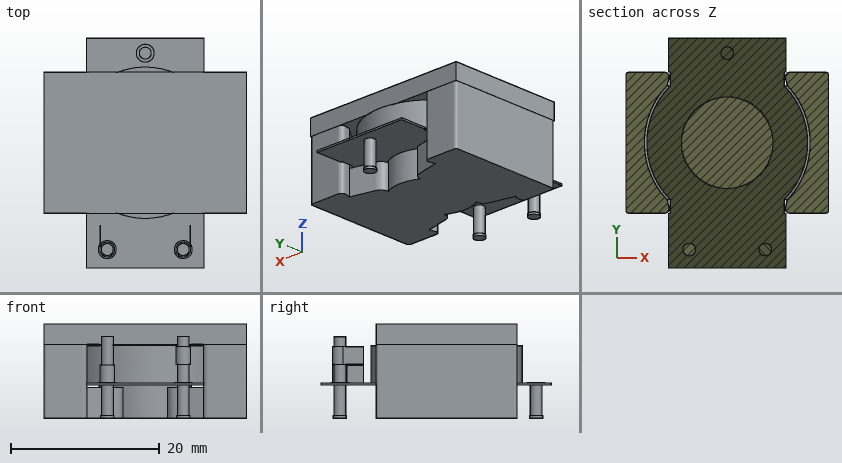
import cadquery as cq
import math

core_length = 27.3
core_width = 19.0
core_height = 9.98
base_height = 4.2
window_radius = 11.15
post_radius = 6.2
leg_outer_fillet = 0.4
leg_inner_fillet = 0.65

flank_slope = math.radians(13)
flank_root_y = 7.72
flank_root_x = math.sqrt(window_radius**2 - flank_root_y**2)
leg_mouth_x = flank_root_x - (core_width / 2 - flank_root_y) * math.tan(flank_slope)
notch_width = 5.95
notch_fillet = 1.4

plate_thickness = 2.75

board_width = 15.87
board_front_y = -16.9
board_back_y = 14.1
board_bottom = 4.5
board_thickness = 0.28
board_top = board_bottom + board_thickness
board_waist_width = 15.38
board_waist_radius = 10.85
pad_radius = 1.2
pad_thickness = 0.1

winding_radius = 10.2
winding_top = 9.8

pin_radius = 0.8
foot_radius = 0.9
foot_height = 0.37
front_pin_top = 11.0
back_pin_top = board_top
front_pin_x = 5.1
front_pin_y = -14.38
back_pin_y = 12.05
pin_points = [(-front_pin_x, front_pin_y), (front_pin_x, front_pin_y), (0, back_pin_y)]

clip_radius = 1.0
clip_height = 2.4
tail_thickness = 0.1
tail_end_y = -11.15
upper_clip_bottom = 7.3


def cylinder(radius, bottom, top, point=(0, 0)):
    return cq.Workplane("XY", origin=(*point, bottom)).circle(radius).extrude(top - bottom)


def slab(width, depth, bottom, top):
    return cq.Workplane("XY", origin=(0, 0, bottom)).rect(width, depth).extrude(top - bottom)


def vertical_edges_at(x, y):
    """Selector of the full-height core edges at (-x, y) and (x, y)."""
    reach = 0.03
    left = cq.selectors.BoxSelector((-x - reach, y - reach, 0), (-x + reach, y + reach, core_height))
    right = cq.selectors.BoxSelector((x - reach, y - reach, 0), (x + reach, y + reach, core_height))
    return left + right


def mouth_cutter():
    """The space between the legs on the -Y side, down to the flanks and into the notch."""
    half_notch = notch_width / 2
    notch_mouth_y = -flank_root_y + (flank_root_x - half_notch) * math.tan(flank_slope)
    front_y = -core_width / 2
    cutter = (
        cq.Workplane("XY")
        .polyline([
            (-leg_mouth_x, front_y),
            (-flank_root_x, -flank_root_y),
            (-half_notch, notch_mouth_y),
            (-half_notch, 0),
            (half_notch, 0),
            (half_notch, notch_mouth_y),
            (flank_root_x, -flank_root_y),
            (leg_mouth_x, front_y),
        ])
        .close()
        .extrude(core_height)
    )
    return cutter.edges(vertical_edges_at(half_notch, notch_mouth_y)).fillet(notch_fillet)


def make_core():
    block = slab(core_length, core_width, 0, core_height).edges("|Z").fillet(leg_outer_fillet)
    front_cutter = mouth_cutter()
    block = block.cut(front_cutter).cut(front_cutter.mirror("XZ"))
    for y in (-core_width / 2, core_width / 2):
        block = block.edges(vertical_edges_at(leg_mouth_x, y)).fillet(leg_inner_fillet)
    window = cylinder(window_radius, base_height, core_height)
    return block.cut(window).union(cylinder(post_radius, 0, core_height))


def make_plate():
    return slab(core_length, core_width, core_height, core_height + plate_thickness)


def make_clip(side, bottom):
    """side is -1 or +1: the X side of the clip, on whose outer face the tail lies."""
    tail_length = tail_end_y - front_pin_y
    tail_outer_x = side * clip_radius
    tail_inner_x = side * (clip_radius - tail_thickness)
    tail_root_y = math.sqrt(clip_radius**2 - tail_inner_x**2)
    return (
        cq.Workplane("XY", origin=(side * front_pin_x, front_pin_y, bottom))
        .moveTo(tail_outer_x, tail_length)
        .lineTo(tail_outer_x, 0)
        .threePointArc((0, -clip_radius), (-tail_outer_x, 0))
        .threePointArc((0, clip_radius), (tail_inner_x, tail_root_y))
        .lineTo(tail_inner_x, tail_length)
        .close()
        .moveTo(0, 0)
        .circle(pin_radius)
        .extrude(clip_height)
    )


def make_board(clip_on_board):
    board_length = board_back_y - board_front_y
    board = slab(board_width, board_length, board_bottom, board_top)
    board = board.translate((0, (board_front_y + board_back_y) / 2, 0))
    between_legs = slab(board_width, core_width, board_bottom, board_top)
    waist = slab(board_waist_width, core_width, board_bottom, board_top)
    board = board.cut(between_legs).union(waist)
    disc = cylinder(board_waist_radius, board_bottom, board_top)
    board = board.union(disc).cut(cylinder(post_radius, board_bottom, board_top))
    for point in pin_points:
        board = board.union(cylinder(pad_radius, board_bottom, board_top + pad_thickness, point))
        board = board.cut(cylinder(pin_radius, board_bottom, board_top + pad_thickness, point))
    return board.cut(clip_on_board)


def make_winding():
    return cylinder(winding_radius, board_top, winding_top).cut(
        cylinder(post_radius, board_top, winding_top)
    )


def make_pin(point, top):
    return cylinder(pin_radius, 0, top, point).union(cylinder(foot_radius, 0, foot_height, point))


core = make_core()
plate = make_plate()
lower_clip = make_clip(-1, board_top)
upper_clip = make_clip(1, upper_clip_bottom)
board = make_board(lower_clip)
winding = make_winding()
pins = []
for pin_point in pin_points:
    pin_top = front_pin_top if pin_point[1] < 0 else back_pin_top
    pins.append(make_pin(pin_point, pin_top).val())

result = cq.Compound.makeCompound([
    core.val(),
    plate.val(),
    board.val(),
    winding.val(),
    lower_clip.val(),
    upper_clip.val(),
    *pins,
])